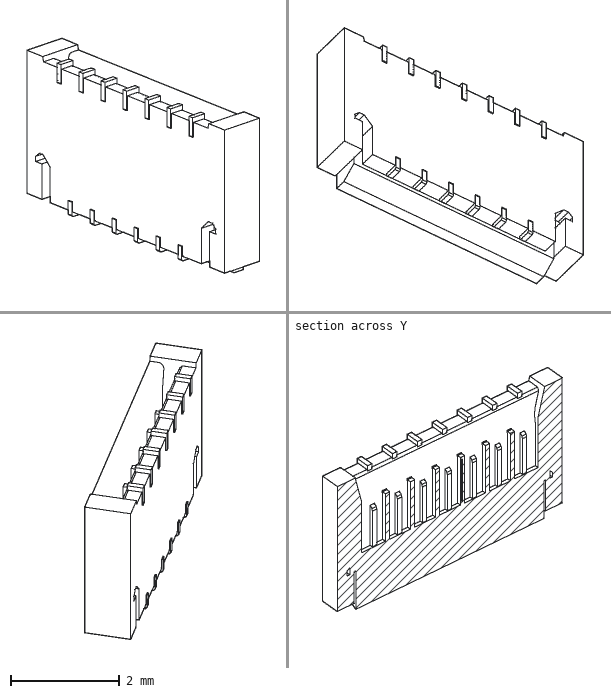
import cadquery as cq
import math


width = 5.4
half_width = width / 2
depth = 0.88
height = 2.85

ear_width = 0.43
mouth_drop = 0.095
wall_top = height - mouth_drop
end_taper = 0.155
end_taper_depth = 0.615

floor_z = 1.08
front_wall = 0.31
lip_chamfer = 0.05
guide_top = 2.375
guide_bottom = 2.035
guide_lean = 0.05
guide_y = front_wall + guide_lean
back_face = 0.605
back_round = 0.115

pitch = 0.6
contact_width = 0.1
contact_proud = 0.02
upper_count = 7
upper_length = 0.39
upper_reach = 0.28
lower_count = 6
lower_top = 0.2
lower_bottom = -0.095
lower_reach = 0.28
lower_inner_chamfer = 0.045
lower_outer_chamfer = 0.03

spring_tip = 0.42
spring_bend = 0.405
spring_z = 1.945

beam_z = 2.16
beam_front = 0.35
beam_back = 0.585

slot_inner = 0.635
slot_outer = 0.41
slot_crown_inner = 0.45
slot_crown_outer = 0.34
slot_hook = 0.245
slot_hook_bottom = 0.71
slot_hook_top = 0.81
slot_top = 0.895

actuator_half = 2.255
hook_half = 2.405
actuator_front = 0.325
actuator_drop = 0.295
actuator_lip = 0.085
actuator_heel = 0.65


def prism_x(points, length, center=0.0):
    """Extrude a (y, z) outline along X, centred on the given X."""
    outline = cq.Workplane("YZ").workplane(offset=center - length / 2)
    return outline.polyline(points).close().extrude(length)


def prism_y(points, y_start, y_end):
    """Extrude an (x, z) outline along Y between two places."""
    outline = cq.Workplane("XZ").workplane(offset=-y_end)
    return outline.polyline(points).close().extrude(y_end - y_start)


def box(x_size, y_start, y_end, z_start, z_end, center=0.0):
    """Box centred on the given X."""
    corners = [(y_start, z_start), (y_end, z_start), (y_end, z_end), (y_start, z_end)]
    return prism_x(corners, x_size, center)


def row(count):
    """X places of a centred row of contacts."""
    return [(i - (count - 1) / 2) * pitch for i in range(count)]


def mouth_and_cavity():
    """Tapered mouth, lead-in lips and the deep cavity as one cutter."""
    top_half = half_width - ear_width
    bottom_half = top_half - end_taper
    taper_end = height - end_taper_depth
    ends = prism_y(
        [
            (-top_half, height),
            (-bottom_half, taper_end),
            (-bottom_half, floor_z),
            (bottom_half, floor_z),
            (bottom_half, taper_end),
            (top_half, height),
        ],
        0,
        depth,
    )
    arc_offset = back_round * (1 - math.sqrt(0.5))
    section = (
        cq.Workplane("YZ")
        .workplane(offset=-half_width)
        .moveTo(0, height)
        .lineTo(0, wall_top)
        .lineTo(front_wall - lip_chamfer, wall_top)
        .lineTo(front_wall, wall_top - lip_chamfer)
        .lineTo(front_wall, guide_top)
        .lineTo(guide_y, guide_bottom)
        .lineTo(guide_y, floor_z)
        .lineTo(back_face, floor_z)
        .lineTo(back_face, wall_top - back_round)
        .threePointArc(
            (back_face + arc_offset, wall_top - arc_offset),
            (back_face + back_round, wall_top),
        )
        .lineTo(depth, wall_top)
        .lineTo(depth, height)
        .close()
        .extrude(width)
    )
    return ends.intersect(section)


def latch_slot():
    """Hooked slot on the -X side, open at the bottom and cut through the depth."""
    outline = [
        (slot_inner, 0),
        (slot_inner, slot_hook_bottom),
        (slot_crown_inner, slot_top),
        (slot_crown_outer, slot_top),
        (slot_hook, slot_hook_top),
        (slot_hook, slot_hook_bottom),
        (slot_outer, slot_hook_bottom),
        (slot_outer, 0),
    ]
    return prism_y([(x - half_width, z) for x, z in outline], 0, depth)


def actuator():
    """Wedge-edged flap behind the slots, with a hook at each end."""
    flap = prism_x(
        [
            (depth, slot_top),
            (depth, -actuator_drop),
            (actuator_heel, -actuator_drop),
            (actuator_front, -actuator_lip),
            (actuator_front, slot_top),
        ],
        2 * actuator_half,
    )
    hooks = box(2 * hook_half, actuator_front, depth, slot_hook_bottom, slot_top)
    return flap.union(hooks)


def upper_contact(x):
    """Tail wrapped over the front wall, and its spring in the cavity."""
    tail = box(contact_width, -contact_proud, upper_reach, height - upper_length, height, x)
    spring_slope = spring_bend - guide_y
    spring = prism_x(
        [
            (guide_y, floor_z),
            (guide_y, spring_z + spring_slope),
            (spring_bend, spring_z),
            (spring_tip, spring_z - spring_slope),
            (spring_tip, floor_z),
        ],
        contact_width,
        x,
    )
    return tail.union(spring)


def lower_contact(x):
    """Tail under the front wall, and its beam across the cavity."""
    tail = prism_x(
        [
            (-contact_proud, lower_top),
            (-contact_proud, lower_bottom + lower_outer_chamfer),
            (lower_outer_chamfer - contact_proud, lower_bottom),
            (lower_reach - lower_inner_chamfer, lower_bottom),
            (lower_reach, lower_bottom + lower_inner_chamfer),
            (lower_reach, lower_top),
        ],
        contact_width,
        x,
    )
    beam = prism_x(
        [
            (front_wall, floor_z),
            (front_wall, beam_z + beam_front - front_wall),
            (beam_front, beam_z),
            (beam_back, beam_z),
            (beam_back, floor_z),
        ],
        contact_width,
        x,
    )
    return tail.union(beam)


slot = latch_slot()
body = box(width, 0, depth, 0, height)
body = body.cut(mouth_and_cavity())
body = body.cut(slot).cut(slot.mirror("YZ"))

body = body.union(actuator())

for x in row(upper_count):
    body = body.union(upper_contact(x))
for x in row(lower_count):
    body = body.union(lower_contact(x))

result = body